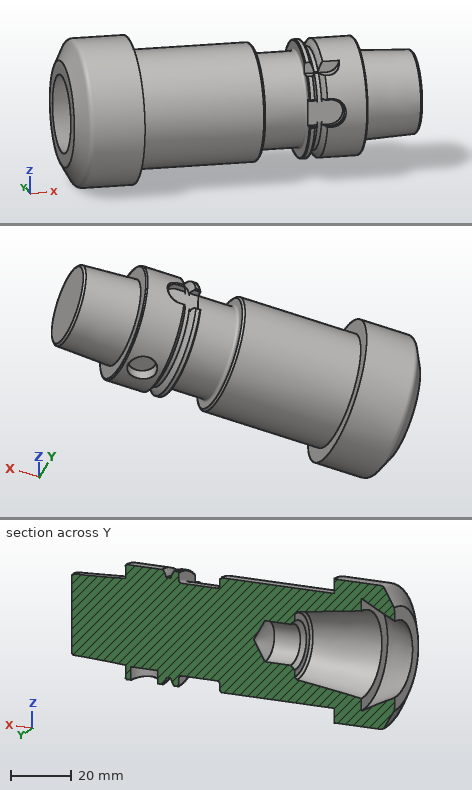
import cadquery as cq
import math

LENGTH = 120.0

NUT_RADIUS = 50.0 / 2
NUT_END = 22.5
NUT_FACE_RADIUS = 17.9
NUT_FACE_STEP = 0.1
NUT_FACE_STEP_WIDTH = 1.1
NUT_CONE_ANGLE = math.radians(60)
NUT_ROUND = 2.0

BODY_RADIUS = 40.0 / 2
BODY_END = 65.0
BODY_CHAMFER = 0.7
NECK_RADIUS = 32.3 / 2
BODY_NECK_FILLET = 1.0
NECK_FLANGE_FILLET = 0.7

FLANGE_START = 80.0
FLANGE_END = 100.0
FLANGE_RADIUS = BODY_RADIUS
FLANGE_CHAMFER = 0.5
RIM_CHAMFER = 0.4
GROOVE_RADIUS = 17.4
GROOVE_CENTER = 84.0
GROOVE_FLOOR_WIDTH = 1.5
GROOVE_WALL_RUN = 0.4
GROOVE_WALL_TOP_RADIUS = 18.4
GROOVE_SIDE_ANGLE = math.radians(30)

SHANK_START_RADIUS = 15.1
SHANK_END_RADIUS = 14.2
SHANK_CHAMFER = 0.7

MOUTH_RADIUS = 13.2
RELIEF_RADIUS = 17.9
RELIEF_DEPTH = 9.5
NUT_BORE_RADIUS = 19.5
SEAT_DEPTH = 12.4
SEAT_RADIUS = 15.1
SEAT_ANGLE = math.radians(8)
SEAT_END_RADIUS = 23.5 / 2
SEAT_FLOOR_RADIUS = 10.9
BORE_MOUTH_RADIUS = 8.5
BORE_RADIUS = 14.0 / 2
BORE_LENGTH = 9.6
BORE_TIP_ANGLE = math.radians(60)

SLOT_RADIUS = 4.5
SLOT_CENTER = 87.5
SLOT_FLOOR = 17.0
SLOT_CHAMFER = 0.5
SLOT_RIM_BAND = 0.54
SLOT_RIM_MARGIN = 0.1
NOTCH_OFFSET = 12.1
CHIP_HOLE_DIAMETER = 10.0
CHIP_HOLE_CENTER = 93.0
CHIP_HOLE_DEPTH = 4.5


def turned_body():
    """Solid outer shape, revolved about the X axis."""
    cone_end_radius = NUT_RADIUS - NUT_ROUND * (1 - math.cos(NUT_CONE_ANGLE))
    cone_end = NUT_FACE_STEP + (cone_end_radius - NUT_FACE_RADIUS) / math.tan(NUT_CONE_ANGLE)
    round_end = cone_end + NUT_ROUND * math.sin(NUT_CONE_ANGLE)
    half_angle = NUT_CONE_ANGLE / 2
    round_middle = (
        round_end - NUT_ROUND * math.sin(half_angle),
        NUT_RADIUS - NUT_ROUND * (1 - math.cos(half_angle)),
    )
    rim_radius = FLANGE_RADIUS - RIM_CHAMFER
    floor_half = GROOVE_FLOOR_WIDTH / 2
    wall_half = floor_half + GROOVE_WALL_RUN
    rim_half = wall_half + (rim_radius - GROOVE_WALL_TOP_RADIUS) * math.tan(GROOVE_SIDE_ANGLE)
    left_rim = GROOVE_CENTER - rim_half
    right_rim = GROOVE_CENTER + rim_half
    profile = (
        cq.Workplane("XY")
        .moveTo(0, 0)
        .lineTo(0, NUT_FACE_RADIUS - NUT_FACE_STEP_WIDTH)
        .lineTo(NUT_FACE_STEP, NUT_FACE_RADIUS)
        .lineTo(cone_end, cone_end_radius)
        .threePointArc(round_middle, (round_end, NUT_RADIUS))
        .lineTo(NUT_END, NUT_RADIUS)
        .lineTo(NUT_END, BODY_RADIUS)
        .lineTo(BODY_END - BODY_CHAMFER, BODY_RADIUS)
        .lineTo(BODY_END, BODY_RADIUS - BODY_CHAMFER)
        .lineTo(BODY_END, NECK_RADIUS + BODY_NECK_FILLET)
        .radiusArc((BODY_END + BODY_NECK_FILLET, NECK_RADIUS), -BODY_NECK_FILLET)
        .lineTo(FLANGE_START - NECK_FLANGE_FILLET, NECK_RADIUS)
        .radiusArc((FLANGE_START, NECK_RADIUS + NECK_FLANGE_FILLET), -NECK_FLANGE_FILLET)
        .lineTo(FLANGE_START, rim_radius)
        .lineTo(FLANGE_START + RIM_CHAMFER, FLANGE_RADIUS)
        .lineTo(left_rim - RIM_CHAMFER, FLANGE_RADIUS)
        .lineTo(left_rim, rim_radius)
        .lineTo(GROOVE_CENTER - wall_half, GROOVE_WALL_TOP_RADIUS)
        .lineTo(GROOVE_CENTER - floor_half, GROOVE_RADIUS)
        .lineTo(GROOVE_CENTER + floor_half, GROOVE_RADIUS)
        .lineTo(GROOVE_CENTER + wall_half, GROOVE_WALL_TOP_RADIUS)
        .lineTo(right_rim, rim_radius)
        .lineTo(right_rim + RIM_CHAMFER, FLANGE_RADIUS)
        .lineTo(FLANGE_END - FLANGE_CHAMFER, FLANGE_RADIUS)
        .lineTo(FLANGE_END, FLANGE_RADIUS - FLANGE_CHAMFER)
        .lineTo(FLANGE_END, SHANK_START_RADIUS)
        .lineTo(LENGTH - SHANK_CHAMFER, SHANK_END_RADIUS)
        .lineTo(LENGTH, SHANK_END_RADIUS - SHANK_CHAMFER)
        .lineTo(LENGTH, 0)
        .close()
    )
    return profile.revolve(360, (0, 0, 0), (1, 0, 0))


def collet_cavity():
    """Undercut nut mouth, tapered collet seat and drilled bore, revolved about the X axis."""
    seat_end = SEAT_DEPTH + (SEAT_RADIUS - SEAT_END_RADIUS) / math.tan(SEAT_ANGLE)
    floor = seat_end + SEAT_END_RADIUS - SEAT_FLOOR_RADIUS
    bore_start = floor + BORE_MOUTH_RADIUS - BORE_RADIUS
    bore_end = bore_start + BORE_LENGTH
    tip = bore_end + BORE_RADIUS / math.tan(BORE_TIP_ANGLE)
    outline = [
        (0, 0),
        (0, MOUTH_RADIUS),
        (RELIEF_DEPTH, RELIEF_RADIUS),
        (SEAT_DEPTH, NUT_BORE_RADIUS),
        (SEAT_DEPTH, SEAT_RADIUS),
        (seat_end, SEAT_END_RADIUS),
        (floor, SEAT_FLOOR_RADIUS),
        (floor, BORE_MOUTH_RADIUS),
        (bore_start, BORE_RADIUS),
        (bore_end, BORE_RADIUS),
        (tip, 0),
    ]
    return cq.Workplane("XY").polyline(outline).close().revolve(360, (0, 0, 0), (1, 0, 0))


def drive_slot():
    """Round-ended slot open at the neck side of the flange, on the -Y side."""
    outline = (
        cq.Workplane("XZ", origin=(0, -SLOT_FLOOR, 0))
        .moveTo(FLANGE_START, -SLOT_RADIUS)
        .lineTo(SLOT_CENTER, -SLOT_RADIUS)
        .threePointArc((SLOT_CENTER + SLOT_RADIUS, 0), (SLOT_CENTER, SLOT_RADIUS))
        .lineTo(FLANGE_START, SLOT_RADIUS)
        .close()
    )
    return outline.extrude(FLANGE_RADIUS - SLOT_FLOOR)


def slot_rim():
    """Selector for the upper edges of the -Y drive slot."""
    half_width = SLOT_RADIUS + SLOT_RIM_MARGIN
    return cq.selectors.BoxSelector(
        (FLANGE_START, -FLANGE_RADIUS - SLOT_RIM_MARGIN, -half_width),
        (SLOT_CENTER + half_width, -FLANGE_RADIUS + SLOT_RIM_BAND, half_width),
    )


def orientation_notch():
    """Corner notch on the -Y, +Z side, ending in a curved run-out."""
    top = NOTCH_OFFSET + SLOT_RADIUS
    mid = SLOT_RADIUS * math.sqrt(0.5)
    outline = (
        cq.Workplane("XZ", origin=(0, -NOTCH_OFFSET, 0))
        .moveTo(FLANGE_START, NOTCH_OFFSET)
        .lineTo(SLOT_CENTER, NOTCH_OFFSET)
        .threePointArc((SLOT_CENTER + mid, top - mid), (SLOT_CENTER + SLOT_RADIUS, top))
        .lineTo(FLANGE_START, top)
        .close()
    )
    return outline.extrude(FLANGE_RADIUS - NOTCH_OFFSET)


def chip_hole():
    """Blind data-chip hole on the -Z side."""
    return (
        cq.Workplane("XY", origin=(CHIP_HOLE_CENTER, 0, -FLANGE_RADIUS))
        .circle(CHIP_HOLE_DIAMETER / 2)
        .extrude(CHIP_HOLE_DEPTH)
    )


result = turned_body().cut(collet_cavity())
for _ in range(2):
    result = result.cut(drive_slot()).edges(slot_rim()).chamfer(SLOT_CHAMFER)
    result = result.rotate((0, 0, 0), (1, 0, 0), 180)
result = result.cut(orientation_notch()).cut(chip_hole())